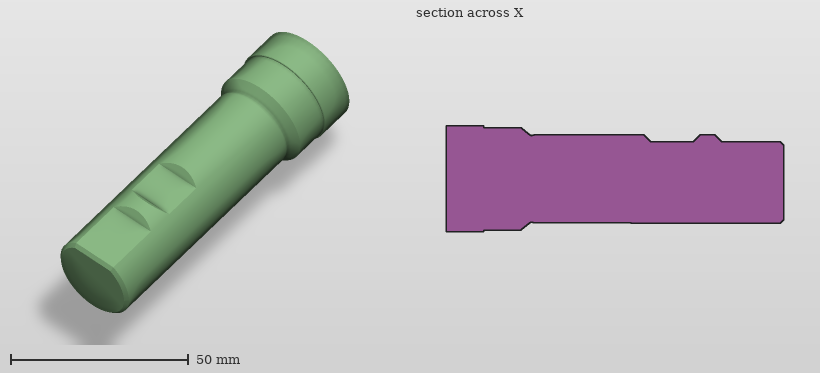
import cadquery as cq
import math

total_length = 95.0
shank_length = 70.0
shank_radius = 12.5
collar_radius = 15.0
collar_length = 10.7
collar_chamfer = 0.15
body_radius = 14.5
body_end = 21.0

neck_radius = 12.25
fillet_radius = 0.85
relief_length = 0.9

flat_height = 10.5
end_flat_length = 17.5
land_length = 8.0
pocket_length = 12.0
flank_angle = 45.0
end_chamfer = 1.0

shank_start_y = shank_length - total_length
shank_end_y = -total_length


def taper_angle(rise, run):
    """Slope from the axis of the line through the body corner, tangent to the neck fillet.

    The corner lies `run` along the axis and `rise` outward from the fillet centre.
    """
    reach = math.hypot(rise, run)
    return math.atan2(rise, run) + math.asin(fillet_radius / reach)


def turned_body():
    """Collar, body, taper, undercut and shank as one revolved profile."""
    neck_y = shank_start_y + relief_length
    centre_radius = neck_radius + fillet_radius
    angle = taper_angle(body_radius - centre_radius, -body_end - neck_y)

    def fillet_point(turn):
        """Point (radius, y) on the fillet, turned back from the neck by an angle."""
        point_radius = centre_radius - fillet_radius * math.cos(turn)
        return point_radius, neck_y + fillet_radius * math.sin(turn)

    return (
        cq.Workplane("XY")
        .moveTo(0, 0)
        .lineTo(collar_radius, 0)
        .lineTo(collar_radius, collar_chamfer - collar_length)
        .lineTo(collar_radius - collar_chamfer, -collar_length)
        .lineTo(body_radius, -collar_length)
        .lineTo(body_radius, -body_end)
        .lineTo(*fillet_point(angle))
        .threePointArc(fillet_point(angle / 2), (neck_radius, neck_y))
        .lineTo(shank_radius, shank_start_y)
        .lineTo(shank_radius, shank_end_y)
        .lineTo(0, shank_end_y)
        .close()
        .revolve(360, (0, 0, 0), (0, 1, 0))
    )


def flat_cutter(start_y, end_y, start_run, end_run):
    """Cutter above the flat; each end leans outward by its run at the shank crown."""
    return (
        cq.Workplane("YZ")
        .moveTo(start_y, flat_height)
        .lineTo(end_y, flat_height)
        .lineTo(end_y + end_run, shank_radius)
        .lineTo(start_y - start_run, shank_radius)
        .close()
        .extrude(shank_radius, both=True)
    )


flank_run = (shank_radius - flat_height) / math.tan(math.radians(flank_angle))
end_flat_top_y = shank_end_y + end_flat_length
pocket_start_y = end_flat_top_y + land_length
pocket_end_y = pocket_start_y + pocket_length

end_flat = flat_cutter(shank_end_y, end_flat_top_y, 0, flank_run)
pocket = flat_cutter(pocket_start_y, pocket_end_y, flank_run, flank_run)

flatted = turned_body().cut(end_flat).cut(pocket)
result = flatted.faces("<Y").chamfer(end_chamfer)